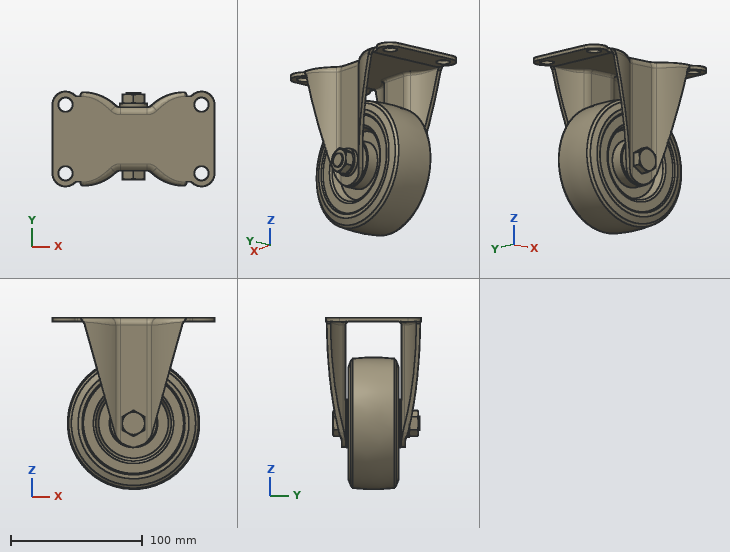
import cadquery as cq
import math

TOTAL_HEIGHT = 130.0
WHEEL_RADIUS = 50.0
AXLE_Z = WHEEL_RADIUS - TOTAL_HEIGHT
BORE_RADIUS = 5.3
TOLERANCE = 0.01

SHEET = 3.0
LEG_INNER_Y = 21.0
LEG_OUTER_Y = LEG_INNER_Y + SHEET
LEG_END_RADIUS = 14.7
LEG_BOTTOM_DROP = 18.1
LEG_BOTTOM_Z = AXLE_Z - LEG_BOTTOM_DROP
LEG_END_Z = LEG_BOTTOM_Z + LEG_END_RADIUS
LEG_SHOULDER_X = 37.2
LEG_SHOULDER_Z = -4.7
LEG_TOP_X = 40.3
END_MARGIN = 1.3

WEB_HALF_WIDTH = 10.0
SWING_ANGLE = math.radians(44)
INNER_SWING_RADIUS = 5.2
OUTER_SWING_RADIUS = 35.6
SWING_MID_X = WEB_HALF_WIDTH + INNER_SWING_RADIUS * math.sin(SWING_ANGLE)
SWING_MID_RISE = INNER_SWING_RADIUS * (1 - math.cos(SWING_ANGLE))
SWING_END_X = SWING_MID_X + OUTER_SWING_RADIUS * math.sin(SWING_ANGLE)
SWING_END_RISE = SWING_MID_RISE + OUTER_SWING_RADIUS * (1 - math.cos(SWING_ANGLE))

BEND_RADIUS = 5.5
BEND_END_RADIUS = 3.1

PLATE_LENGTH = 123.0
PLATE_WIDTH = 72.0
CORNER_RADIUS = 10.0
HOLE_DIAMETER = 10.7
HOLE_X = PLATE_LENGTH / 2 - CORNER_RADIUS
HOLE_Y = PLATE_WIDTH / 2 - CORNER_RADIUS
NECK_FILLET = 2.6
NECK_Y = LEG_OUTER_Y + SWING_END_RISE - BEND_END_RADIUS

TREAD_HALF_WIDTH = 15.6
TREAD_EDGE_RADIUS = 49.1
SHOULDER_HALF_WIDTH = 17.3
SHOULDER_RADIUS = 47.0
FACE_HALF_WIDTH = 19.2
FACE_RADIUS = 42.0
STEP_RADIUS = 39.0
STEP_BOTTOM_RADIUS = 38.0
STEP_DEPTH = 1.0
RECESS_RIM_RADIUS = 30.4
RECESS_RADIUS = 28.6
RECESS_RIM_DEPTH = 1.0
RECESS_FLOOR_RADIUS = 26.4
RECESS_FLOOR_Y = 11.0
HUB_RADIUS = 18.3
HUB_CHAMFER = 0.8

HEX_FLATS = 17.0
HEAD_HEIGHT = 6.6
COLLAR_RADIUS = 10.5
COLLAR_HEIGHT = 2.9
NUT_HEIGHT = 7.1
BOLT_END_PROJECTION = 1.0
HEX_CHAMFER_ANGLE = math.radians(30)


def axle_cylinder(radius, start_y, end_y):
    """Cylinder about the axle between two Y positions."""
    return (
        cq.Workplane("XZ", origin=(0, start_y, AXLE_Z))
        .circle(radius)
        .extrude(start_y - end_y)
    )


def leg_outline(offset, end_x):
    """Closed plan outline between both legs, moved inward by offset from their outer faces."""
    web_y = LEG_OUTER_Y - offset
    inner_radius = INNER_SWING_RADIUS + offset
    outer_radius = OUTER_SWING_RADIUS - offset
    half_angle = SWING_ANGLE / 2
    mid_x = WEB_HALF_WIDTH + inner_radius * math.sin(SWING_ANGLE)
    mid_y = web_y + inner_radius * (1 - math.cos(SWING_ANGLE))
    end_y = web_y + SWING_END_RISE
    inner_arc = (
        WEB_HALF_WIDTH + inner_radius * math.sin(half_angle),
        web_y + inner_radius * (1 - math.cos(half_angle)),
    )
    outer_arc = (
        SWING_END_X - outer_radius * math.sin(half_angle),
        end_y - outer_radius * (1 - math.cos(half_angle)),
    )

    def at(point, side_x, side_y):
        return (side_x * point[0], side_y * point[1])

    outline = cq.Workplane("XY").moveTo(-end_x, end_y)
    for side in (-1, 1):
        start, finish = side, -side
        outline = (
            outline.lineTo(*at((end_x, end_y), start, side))
            .lineTo(*at((SWING_END_X, end_y), start, side))
            .threePointArc(at(outer_arc, start, side), at((mid_x, mid_y), start, side))
            .threePointArc(at(inner_arc, start, side), at((WEB_HALF_WIDTH, web_y), start, side))
            .lineTo(*at((WEB_HALF_WIDTH, web_y), finish, side))
            .threePointArc(at(inner_arc, finish, side), at((mid_x, mid_y), finish, side))
            .threePointArc(at(outer_arc, finish, side), at((SWING_END_X, end_y), finish, side))
            .lineTo(*at((end_x, end_y), finish, side))
        )
    return outline.close()


def bent_block(offset, end_x):
    """Block filling the fork up to a sheet face, its top edges rounded by the tightening bend."""
    height = TOTAL_HEIGHT - offset
    block = leg_outline(offset, end_x).extrude(-height).translate((0, 0, -offset)).val()
    bend = cq.occ_impl.shapes.BRepFilletAPI_MakeFillet(block.wrapped)
    edges = [
        edge
        for edge in cq.Workplane(block).faces(">Z").edges().vals()
        if abs(edge.Center().x) < end_x - TOLERANCE
    ]
    for edge in edges:
        bend.Add(edge.wrapped)
    for edge in edges:
        contour = bend.Contour(edge.wrapped)
        for vertex in edge.Vertices():
            at_web = abs(vertex.X) < SWING_END_X - TOLERANCE
            outer_radius = BEND_RADIUS if at_web else BEND_END_RADIUS
            bend.SetRadius(outer_radius - offset, contour, vertex.wrapped)
    return cq.Workplane(cq.Shape.cast(bend.Shape()))


def leg_profile():
    """Tapered leg shape seen along Y, its slanted sides tangent to the rounded lower end."""
    shoulder_drop = LEG_SHOULDER_Z - LEG_END_Z
    reach = math.hypot(LEG_SHOULDER_X, shoulder_drop)
    tangent = math.atan2(shoulder_drop, LEG_SHOULDER_X) - math.acos(LEG_END_RADIUS / reach)
    tangent_x = LEG_END_RADIUS * math.cos(tangent)
    tangent_z = LEG_END_Z + LEG_END_RADIUS * math.sin(tangent)
    return (
        cq.Workplane("XZ")
        .moveTo(-LEG_TOP_X, 0)
        .lineTo(-LEG_SHOULDER_X, LEG_SHOULDER_Z)
        .lineTo(-tangent_x, tangent_z)
        .threePointArc((0, LEG_BOTTOM_Z), (tangent_x, tangent_z))
        .lineTo(LEG_SHOULDER_X, LEG_SHOULDER_Z)
        .lineTo(LEG_TOP_X, 0)
        .close()
        .extrude(PLATE_WIDTH, both=True)
    )


def plate_end(side):
    """One end of the mounting plate: a neck and two round lobes, with filleted corners between."""
    neck = (
        cq.Workplane("XY")
        .box(HOLE_X - SWING_END_X, 2 * NECK_Y, SHEET, centered=(False, True, False))
        .translate((SWING_END_X, 0, 0))
    )
    strip = (
        cq.Workplane("XY")
        .box(CORNER_RADIUS, 2 * HOLE_Y, SHEET, centered=(False, True, False))
        .translate((HOLE_X, 0, 0))
    )
    lobes = (
        cq.Workplane("XY")
        .pushPoints([(HOLE_X, -HOLE_Y), (HOLE_X, HOLE_Y)])
        .circle(CORNER_RADIUS)
        .extrude(SHEET)
    )
    end = neck.union(strip).union(lobes)
    corner_x = HOLE_X - math.sqrt(CORNER_RADIUS**2 - (NECK_Y - HOLE_Y) ** 2)
    for corner_y in (-NECK_Y, NECK_Y):
        neck_corner = cq.selectors.NearestToPointSelector((corner_x, corner_y, SHEET / 2))
        end = end.edges("|Z").edges(neck_corner).fillet(NECK_FILLET)
    end = end.translate((0, 0, -SHEET))
    return end if side > 0 else end.mirror("YZ")


def make_fork():
    """Bent sheet fork with its mounting holes and axle holes."""
    outer_block = bent_block(0, LEG_TOP_X + END_MARGIN)
    inner_block = bent_block(SHEET, LEG_TOP_X + 2 * END_MARGIN)
    fork = outer_block.cut(inner_block).intersect(leg_profile())
    for side in (-1, 1):
        fork = fork.union(plate_end(side))
    mounting_holes = (
        cq.Workplane("XY")
        .rect(2 * HOLE_X, 2 * HOLE_Y, forConstruction=True)
        .vertices()
        .circle(HOLE_DIAMETER / 2)
        .extrude(-SHEET)
    )
    axle_bore = axle_cylinder(BORE_RADIUS, -LEG_OUTER_Y, LEG_OUTER_Y)
    collar_seat = axle_cylinder(COLLAR_RADIUS, LEG_OUTER_Y, LEG_OUTER_Y + COLLAR_HEIGHT)
    return fork.cut(mounting_holes).cut(axle_bore).cut(collar_seat)


def make_wheel():
    """Wheel turned about the axle, symmetric about its middle plane."""
    half_side = [
        (TREAD_EDGE_RADIUS, TREAD_HALF_WIDTH),
        (SHOULDER_RADIUS, SHOULDER_HALF_WIDTH),
        (FACE_RADIUS, FACE_HALF_WIDTH),
        (STEP_RADIUS, FACE_HALF_WIDTH),
        (STEP_BOTTOM_RADIUS, FACE_HALF_WIDTH - STEP_DEPTH),
        (RECESS_RIM_RADIUS, FACE_HALF_WIDTH - STEP_DEPTH),
        (RECESS_RADIUS, FACE_HALF_WIDTH - STEP_DEPTH - RECESS_RIM_DEPTH),
        (RECESS_FLOOR_RADIUS, RECESS_FLOOR_Y),
        (HUB_RADIUS, RECESS_FLOOR_Y),
        (HUB_RADIUS, LEG_INNER_Y - HUB_CHAMFER),
        (HUB_RADIUS - HUB_CHAMFER, LEG_INNER_Y),
        (BORE_RADIUS, LEG_INNER_Y),
    ]
    far_side = [(radius, -y) for radius, y in reversed(half_side)]
    return (
        cq.Workplane("XY")
        .polyline(half_side + far_side)
        .threePointArc((WHEEL_RADIUS, 0), half_side[0])
        .close()
        .revolve(360, (0, 0, 0), (0, 1, 0))
        .translate((0, 0, AXLE_Z))
    )


def hex_prism(start_y, end_y, chamfer_start, chamfer_end):
    """Hexagon about the axle with corners up and down, its corners turned off at the chosen ends."""
    corner_radius = HEX_FLATS / math.sqrt(3)
    flat_radius = HEX_FLATS / 2
    corner_drop = (corner_radius - flat_radius) * math.tan(HEX_CHAMFER_ANGLE)
    prism = (
        cq.Workplane("XZ", origin=(0, start_y, AXLE_Z))
        .transformed(rotate=(0, 0, 90))
        .polygon(6, 2 * corner_radius)
        .extrude(start_y - end_y)
    )
    start_radius = flat_radius if chamfer_start else corner_radius
    end_radius = flat_radius if chamfer_end else corner_radius
    turning = (
        cq.Workplane("XY")
        .polyline([
            (0, start_y),
            (start_radius, start_y),
            (corner_radius, start_y + corner_drop),
            (corner_radius, end_y - corner_drop),
            (end_radius, end_y),
            (0, end_y),
        ])
        .close()
        .revolve(360, (0, 0, 0), (0, 1, 0))
        .translate((0, 0, AXLE_Z))
    )
    return prism.intersect(turning)


def make_axle():
    """Bolt and collared nut as one body."""
    collar_end = LEG_OUTER_Y + COLLAR_HEIGHT
    nut_end = collar_end + NUT_HEIGHT
    head = hex_prism(-LEG_OUTER_Y - HEAD_HEIGHT, -LEG_OUTER_Y, True, False)
    shank = axle_cylinder(BORE_RADIUS, -LEG_OUTER_Y, nut_end + BOLT_END_PROJECTION)
    collar = axle_cylinder(COLLAR_RADIUS, LEG_OUTER_Y, collar_end)
    nut = hex_prism(collar_end, nut_end, True, True)
    return head.union(shank).union(collar).union(nut)


fork = make_fork()
wheel = make_wheel()
axle = make_axle()

result = cq.Compound.makeCompound([fork.val(), wheel.val(), axle.val()])